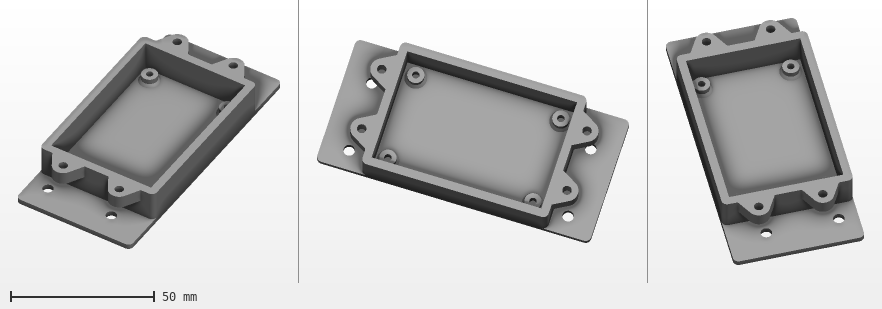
import cadquery as cq
import math

plate_width = 47.0
plate_length = 100.0
plate_thickness = 2.0
corner_radius = 2.0
plate_hole_diameter = 4.0
plate_hole_spacing_x = 26.0
plate_hole_spacing_y = 80.0
plate_hole_center_x = -3.5

total_height = 13.8
wall = 3.0
box_length = 68.0
box_center_y = -0.5
floor_height = 2.0
cavity_width = plate_width - 2 * wall
cavity_length = box_length - 2 * wall

lug_spacing_x = 23.0
lug_spacing_y = 75.0
lug_thickness = 5.0
lug_radius = 4.0
lug_hole_diameter = 3.3
lug_side_angle = math.radians(60)
lug_base_fillet = 1.0

standoff_spacing_x = 32.0
standoff_spacing_y = 53.0
standoff_foot_radius = 4.0
standoff_radius = 3.0
standoff_foot_height = 1.0
standoff_height = 3.0
standoff_hole_diameter = 2.6


def make_plate():
    plate = (
        cq.Workplane("XY")
        .rect(plate_width, plate_length)
        .extrude(plate_thickness)
        .edges("|Z")
        .fillet(corner_radius)
    )
    holes = (
        cq.Workplane("XY")
        .center(plate_hole_center_x, 0)
        .rarray(plate_hole_spacing_x, plate_hole_spacing_y, 2, 2)
        .circle(plate_hole_diameter / 2)
        .extrude(plate_thickness)
    )
    return plate.cut(holes)


def make_box():
    box = (
        cq.Workplane("XY")
        .center(0, box_center_y)
        .rect(plate_width, box_length)
        .extrude(total_height)
        .edges("|Z")
        .fillet(corner_radius)
    )
    cavity = (
        cq.Workplane("XY", origin=(0, box_center_y, floor_height))
        .rect(cavity_width, cavity_length)
        .extrude(total_height - floor_height)
    )
    return box.cut(cavity)


def lug_base_half_width():
    tip_rise = lug_radius * math.cos(lug_side_angle)
    side_height = (lug_spacing_y - box_length) / 2 + tip_rise
    return lug_radius * math.sin(lug_side_angle) + side_height / math.tan(lug_side_angle)


def make_lug(x, side):
    """Lug at x on the +Y (side = 1) or -Y (side = -1) end wall, with sides tangent to its round tip."""
    wall_y = box_length / 2
    hole_y = lug_spacing_y / 2
    tangent_x = lug_radius * math.sin(lug_side_angle)
    tangent_y = hole_y + lug_radius * math.cos(lug_side_angle)
    base_x = lug_base_half_width()
    base_z = total_height - lug_thickness
    return (
        cq.Workplane("XY", origin=(x, box_center_y, base_z))
        .moveTo(-base_x, side * wall_y)
        .lineTo(-tangent_x, side * tangent_y)
        .threePointArc((0, side * (hole_y + lug_radius)), (tangent_x, side * tangent_y))
        .lineTo(base_x, side * wall_y)
        .close()
        .moveTo(0, side * hole_y)
        .circle(lug_hole_diameter / 2)
        .extrude(lug_thickness)
    )


def fillet_lug_base(body):
    """Round the two upright inner corners where the -X lug meets the +Y end wall."""
    lug_x = -lug_spacing_x / 2
    wall_y = box_center_y + box_length / 2
    corner_z = total_height - lug_thickness / 2
    for side in (-1, 1):
        corner = (lug_x + side * lug_base_half_width(), wall_y, corner_z)
        nearest_upright = cq.selectors.NearestToPointSelector(corner)
        body = body.edges("|Z").edges(nearest_upright).fillet(lug_base_fillet)
    return body


def make_standoff(x, y):
    """Hollow standoff revolved about its own vertical axis."""
    hole_radius = standoff_hole_diameter / 2
    return (
        cq.Workplane("XZ", origin=(x, y, floor_height))
        .moveTo(hole_radius, 0)
        .lineTo(standoff_foot_radius, 0)
        .lineTo(standoff_radius, standoff_foot_height)
        .lineTo(standoff_radius, standoff_height)
        .lineTo(hole_radius, standoff_height)
        .close()
        .revolve(360, (0, 0, 0), (0, 1, 0))
    )


result = make_plate().union(make_box())
for side_x in (-1, 1):
    for side_y in (-1, 1):
        result = result.union(make_lug(side_x * lug_spacing_x / 2, side_y))
        standoff_x = side_x * standoff_spacing_x / 2
        standoff_y = box_center_y + side_y * standoff_spacing_y / 2
        result = result.union(make_standoff(standoff_x, standoff_y))
result = fillet_lug_base(result)